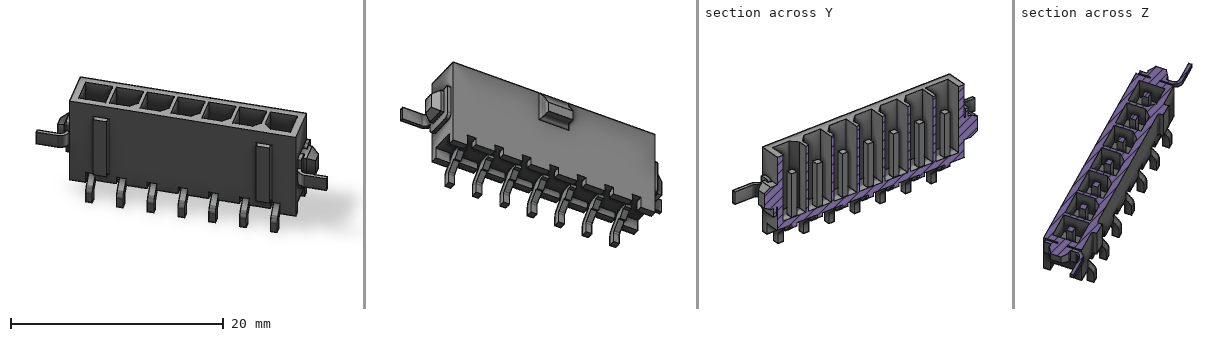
import cadquery as cq
import math


mount_face_y = -0.5

pin_count = 7
pin_row_length = 18.0
pitch = pin_row_length / (pin_count - 1)
body_length = 22.04
body_depth = 3.93
body_height = 9.27
channel_height = 1.2
channel_front = 0.7
channel_back = 3.22
middle_clearance = 0.42
notch_width = 0.93

cavity_width = 2.63
cavity_depth = 2.57
cavity_chamfer = 0.68
cavity_floor = 2.0
cavity_y = body_depth / 2

pin_width = 0.65
pin_top = 6.78
tail_thickness = 0.7
tail_bottom = -1.9
tail_bend_radius = 1.0
tail_bend_z = -0.88
shoulder_y = 2.4
shoulder_z = 0.82
shoulder_length = 0.4
shoulder_heel_y = 1.38
shoulder_heel_z = 0.08
shoulder_end_z = 0.17

rib_spacing = 15.85
rib_width = 1.3
rib_bottom = 1.45
rib_top = 7.9
rib_flare = 0.17

latch_width = 2.65
latch_tip_y = 5.17
latch_tip_top = 7.43
latch_bottom = 6.38
latch_flare_width = 0.3
latch_flare_length = 0.6

total_length = 28.25
clip_turn_z = 4.7
clip_gap = 0.08
clip_thickness = 0.37
clip_front = 0.4
clip_back = 3.67
clip_bottom = 2.88
clip_top = 6.55
clip_top_radius = 0.5
clip_bottom_radius = 0.15
slot_front = 1.47
slot_back = 2.45
slot_mouth_front_radius = 0.28
slot_mouth_back_radius = 0.48
tab_height = 1.38
lug_front = 0.95
lug_back = 3.0
lug_bottom = 3.14
lug_top = 5.62
lug_straight = 0.35
lug_taper = 0.75
lug_tip_inset_y = 0.48
lug_tip_inset_z = 0.45

pin_places = [(i - (pin_count - 1) / 2) * pitch for i in range(pin_count)]


def box(x0, x1, y0, y1, z0, z1):
    """Block spanning the given limits."""
    return cq.Workplane("XY").box(x1 - x0, y1 - y0, z1 - z0, centered=False).translate((x0, y0, z0))


def make_cavity(x, chamfered_side):
    """Contact cavity with one front corner cut off: +1 right, -1 left, 0 none."""
    cavity = box(
        x - cavity_width / 2, x + cavity_width / 2,
        cavity_y - cavity_depth / 2, cavity_y + cavity_depth / 2,
        cavity_floor, body_height,
    )
    if chamfered_side == 0:
        return cavity
    corner = ">X and <Y" if chamfered_side > 0 else "<X and <Y"
    return cavity.edges("|Z").edges(corner).chamfer(cavity_chamfer)


def make_body():
    """Housing with its bottom channel, tail notches and cavities."""
    half = body_length / 2
    body = box(-half, half, 0, body_depth, 0, body_height)
    body = body.cut(box(-half, half, channel_front, channel_back, 0, channel_height))
    body = body.cut(box(pin_places[0], pin_places[-1], 0, body_depth, 0, middle_clearance))
    for x in pin_places:
        body = body.cut(box(x - notch_width / 2, x + notch_width / 2, 0, body_depth, 0, channel_height))
    chamfered_sides = [0] + [1] * (pin_count - 2) + [-1]
    for x, side in zip(pin_places, chamfered_sides):
        body = body.cut(make_cavity(x, side))
    return body


def make_pin():
    """Contact at X = 0: square post and a tail that runs forward at 45 degrees and turns down."""
    outer = tail_bend_radius
    inner = outer - tail_thickness
    bend_y = mount_face_y + outer
    slope = math.radians(45)

    def on_bend(radius, angle):
        return (bend_y - radius * math.cos(angle), tail_bend_z + radius * math.sin(angle))

    slope_start = on_bend(outer, slope)
    inner_start = on_bend(inner, slope)
    slope_top_y = slope_start[0] + channel_height - slope_start[1]
    shoulder_end_y = inner_start[0] + shoulder_end_z - inner_start[1]
    tail = (
        cq.Workplane("YZ")
        .moveTo(mount_face_y, tail_bottom)
        .lineTo(mount_face_y, tail_bend_z)
        .threePointArc(on_bend(outer, slope / 2), slope_start)
        .lineTo(slope_top_y, channel_height)
        .lineTo(shoulder_y, channel_height)
        .lineTo(shoulder_y, shoulder_z)
        .lineTo(shoulder_y - shoulder_length, shoulder_z)
        .lineTo(shoulder_heel_y, shoulder_heel_z)
        .lineTo(shoulder_end_y, shoulder_end_z)
        .lineTo(*inner_start)
        .threePointArc(on_bend(inner, slope / 2), (bend_y - inner, tail_bend_z))
        .lineTo(bend_y - inner, tail_bottom)
        .close()
        .extrude(pin_width / 2, both=True)
    )
    half = pin_width / 2
    post = box(-half, half, cavity_y - half, cavity_y + half, channel_height, pin_top)
    return tail.union(post)


def flare_middle(flare_width, flare_length):
    """Middle of a hollow arc that starts along a side and spreads by flare_width over flare_length.

    Returned as (spread from the side, distance from the root)."""
    radius = (flare_width**2 + flare_length**2) / (2 * flare_width)
    half_angle = math.asin(flare_length / radius) / 2
    return radius * (1 - math.cos(half_angle)), flare_length - radius * math.sin(half_angle)


def flared_plan(width, root_y, tip_y, flare_width, flare_length):
    """Plan of a projection from root_y to tip_y whose sides flare into the root with hollow arcs."""
    outward = 1 if tip_y > root_y else -1
    half = width / 2
    spread, rise = flare_middle(flare_width, flare_length)
    arc_y = root_y + outward * flare_length
    middle_y = root_y + outward * rise
    return (
        cq.Workplane("XY")
        .moveTo(-half - flare_width, root_y)
        .threePointArc((-half - spread, middle_y), (-half, arc_y))
        .lineTo(-half, tip_y)
        .lineTo(half, tip_y)
        .lineTo(half, arc_y)
        .threePointArc((half + spread, middle_y), (half + flare_width, root_y))
        .close()
    )


def make_rib(x):
    """Upright rib on the front face."""
    plan = flared_plan(rib_width, 0, mount_face_y, rib_flare, rib_flare)
    return plan.extrude(rib_top - rib_bottom).translate((x, 0, rib_bottom))


def make_latch():
    """Latch ramp on the back face, with a hollow arc under it and at both sides."""
    plan = flared_plan(latch_width, body_depth, latch_tip_y, latch_flare_width, latch_flare_length)
    spread, rise = flare_middle(latch_flare_width, latch_flare_length)
    ramp = (
        cq.Workplane("YZ")
        .moveTo(body_depth, body_height)
        .lineTo(latch_tip_y, latch_tip_top)
        .lineTo(latch_tip_y, latch_bottom)
        .lineTo(body_depth + latch_flare_length, latch_bottom)
        .threePointArc(
            (body_depth + rise, latch_bottom - spread),
            (body_depth, latch_bottom - latch_flare_width),
        )
        .close()
        .extrude(latch_width, both=True)
    )
    return plan.extrude(body_height).intersect(ramp)


def make_left_clip():
    """Solder clip at the left end: slotted plate with a tab that bends forward and outward."""
    plate_inner = -body_length / 2 - clip_gap
    plate_outer = plate_inner - clip_thickness
    plate = box(plate_outer, plate_inner, clip_front, clip_back, clip_bottom, clip_top)
    plate = plate.edges("|X and >Z").fillet(clip_top_radius)
    plate = plate.edges("|X and <Z").fillet(clip_bottom_radius)
    plate = plate.cut(box(plate_outer, plate_inner, slot_front, slot_back, clip_bottom, lug_top))
    mouths = ((slot_front, slot_mouth_front_radius), (slot_back, slot_mouth_back_radius))
    for mouth_y, radius in mouths:
        mouth_edge = cq.selectors.NearestToPointSelector(
            ((plate_inner + plate_outer) / 2, mouth_y, clip_bottom)
        )
        plate = plate.edges("|X").edges(mouth_edge).fillet(radius)

    outer_radius = clip_front - mount_face_y
    inner_radius = outer_radius - clip_thickness
    bend_x = plate_inner - outer_radius
    diagonal = math.sqrt(0.5)
    tab = (
        cq.Workplane("XY")
        .moveTo(plate_inner, clip_front)
        .threePointArc(
            (bend_x + outer_radius * diagonal, clip_front - outer_radius * diagonal),
            (bend_x, mount_face_y),
        )
        .lineTo(-total_length / 2, mount_face_y)
        .lineTo(-total_length / 2, mount_face_y + clip_thickness)
        .lineTo(bend_x, mount_face_y + clip_thickness)
        .threePointArc(
            (bend_x + inner_radius * diagonal, clip_front - inner_radius * diagonal),
            (plate_outer, clip_front),
        )
        .close()
        .extrude(tab_height)
        .translate((0, 0, clip_turn_z - tab_height / 2))
    )
    return plate.union(tab)


def make_left_lug():
    """Tapered lug outside the clip, joined to the body by a neck through the clip slot."""
    body_end = -body_length / 2
    plate_outer = body_end - clip_gap - clip_thickness
    taper_x = plate_outer - lug_straight
    width = lug_back - lug_front
    height = lug_top - lug_bottom
    neck = box(plate_outer, body_end, slot_front, slot_back, lug_bottom, lug_top)
    base = box(taper_x, plate_outer, lug_front, lug_back, lug_bottom, lug_top)
    taper = (
        cq.Workplane("YZ", origin=(taper_x, (lug_front + lug_back) / 2, (lug_bottom + lug_top) / 2))
        .rect(width, height)
        .workplane(offset=-lug_taper)
        .rect(width - 2 * lug_tip_inset_y, height - 2 * lug_tip_inset_z)
        .loft()
    )
    return neck.union(base).union(taper)


result = make_body()

pin = make_pin()
for pin_x in pin_places:
    result = result.union(pin.translate((pin_x, 0, 0)))

for rib_x in (-rib_spacing / 2, rib_spacing / 2):
    result = result.union(make_rib(rib_x))

result = result.union(make_latch())

left_end = make_left_lug().union(make_left_clip())
right_end = left_end.rotate((0, 0, clip_turn_z), (0, 1, clip_turn_z), 180)
result = result.union(left_end).union(right_end)